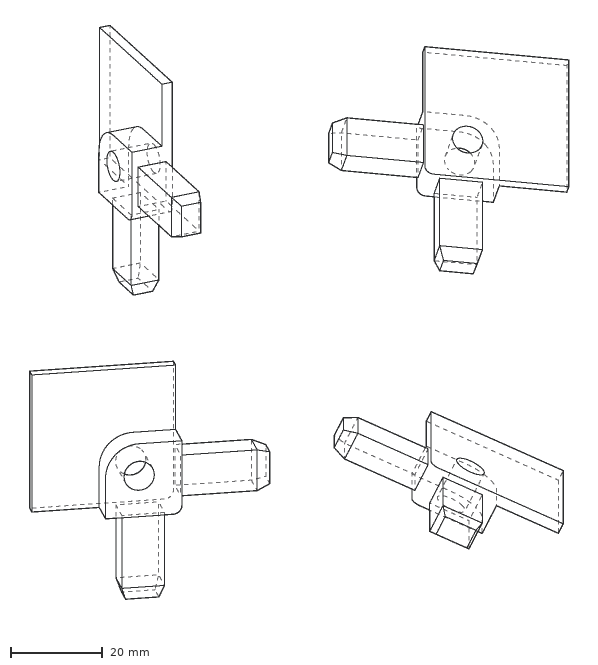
import cadquery as cq

overall = 52.0
depth = 9.7
plate_side = 32.0
plate_thickness = 2.5
block_side = 17.0
block_round = 7.5
corner_round = 2.0
hole_diameter = 6.7
peg_width = 9.5
peg_thickness = 6.7
peg_edge_gap = 3.6
tip_length = 3.0
tip_inset = 1.05

peg_length = overall - plate_side
shank_length = peg_length - tip_length
block_left = plate_side - block_side
hole_x = block_left + block_round
hole_z = block_side - block_round
peg_center_y = depth / 2
peg_center_z = peg_edge_gap + peg_width / 2
peg_center_x = plate_side - peg_center_z


def make_peg(base_plane):
    """Rectangular peg with a tapered tip; its width runs along the plane's local X."""
    shank = cq.Workplane(base_plane).rect(peg_width, peg_thickness).extrude(shank_length)
    tip = (
        cq.Workplane(base_plane)
        .workplane(offset=shank_length)
        .rect(peg_width, peg_thickness)
        .workplane(offset=tip_length)
        .rect(peg_width - 2 * tip_inset, peg_thickness - 2 * tip_inset)
        .loft(ruled=True)
    )
    return shank.union(tip)


plate = cq.Workplane("XY").box(plate_side, plate_thickness, plate_side, centered=False)
plate = plate.translate((0, depth - plate_thickness, 0))

block = cq.Workplane("XY").box(block_side, depth - plate_thickness, block_side, centered=False)
block = block.translate((block_left, 0, 0)).edges("|Y and <X and >Z").fillet(block_round)

corner_edges = cq.selectors.BoxSelector(
    (plate_side - corner_round, 0, -corner_round),
    (plate_side + corner_round, depth, corner_round),
)
body = plate.union(block).edges("|Y").edges(corner_edges).fillet(corner_round)

side_peg = make_peg(cq.Plane((plate_side, peg_center_y, peg_center_z), (0, 0, 1), (1, 0, 0)))
lower_peg = make_peg(cq.Plane((peg_center_x, peg_center_y, 0), (1, 0, 0), (0, 0, -1)))

hole = (
    cq.Workplane(cq.Plane((hole_x, 0, hole_z), (1, 0, 0), (0, 1, 0)))
    .circle(hole_diameter / 2)
    .extrude(depth)
)

result = body.union(side_peg).union(lower_peg).cut(hole)